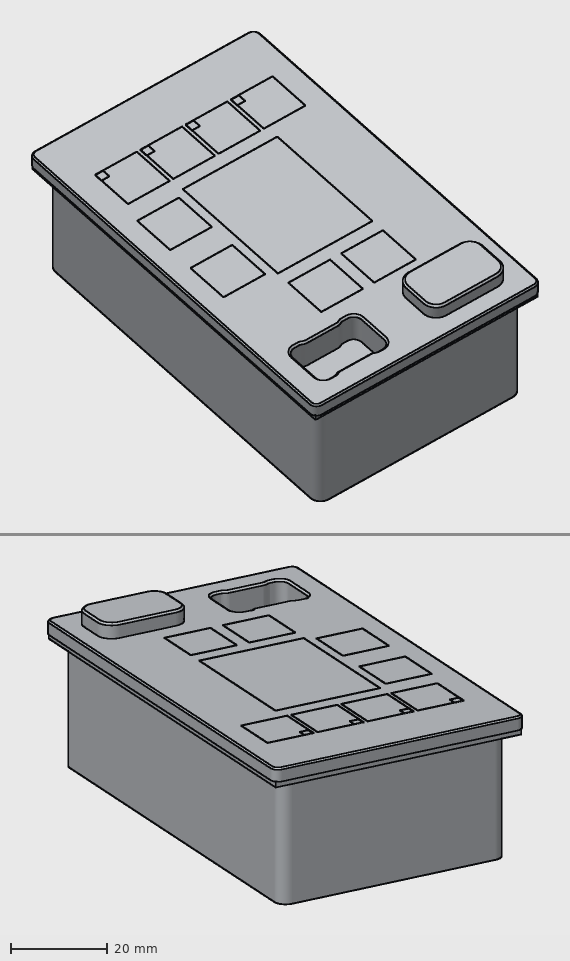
import cadquery as cq


plate_length = 96.0
plate_width = 60.0
plate_thickness = 3.1
plate_corner_radius = 1.7
plate_edge_chamfer = 0.4

gasket_inset = 0.6
gasket_thickness = 1.3

housing_length = 90.8
housing_width = 54.1
housing_depth = 27.8
housing_corner_radius = 2.7

foot_length = 9.0
foot_width = 5.0
foot_height = 2.3
foot_fillet = 0.8
foot_x = 34.5
foot_y_positions = (1.0, -20.0)

control_y = 15.1
control_edge_chamfer = 0.5
button_x = 37.2
button_width = 12.5
button_length = 20.3
button_height = 3.5
button_corner_radius = 3.4

socket_x = 37.0
socket_width = 12.7
socket_length = 19.2
socket_depth = 7.0
socket_corner_radius = 2.6
waist_inset = 0.5
waist_length = 8.3
waist_blend_length = 1.7

marking_depth = 0.1
display_length = 31.9
display_width = 25.1
display_x = -3.9
display_y = 1.2
key_size = 11.0

column_x = -29.0
column_y = 0.5
column_pitch = 12.0
column_count = 4
lamp_size = 2.1
lamp_depth = 2 * marking_depth

side_key_x = 21.0
side_key_offset = (display_width - key_size) / 2
bottom_key_y = -19.1
bottom_key_offset = 8.9

gasket_top = -plate_thickness
housing_top = gasket_top - gasket_thickness
housing_bottom = housing_top - housing_depth


def block_below(length, width, height, top):
    """Centred rectangular block hanging down from the given level."""
    return cq.Workplane("XY").workplane(offset=top).rect(length, width).extrude(-height)


def make_plate():
    plate = block_below(plate_length, plate_width, plate_thickness, 0)
    plate = plate.edges("|Z").fillet(plate_corner_radius)
    return plate.faces(">Z").edges().chamfer(plate_edge_chamfer)


def make_gasket():
    return block_below(
        plate_length - 2 * gasket_inset,
        plate_width - 2 * gasket_inset,
        gasket_thickness,
        gasket_top,
    )


def make_housing():
    housing = block_below(housing_length, housing_width, housing_depth, housing_top)
    return housing.edges("|Z").fillet(housing_corner_radius)


def make_foot(y):
    """Foot with its two long lower edges rounded."""
    foot = block_below(foot_length, foot_width, foot_height, housing_bottom)
    foot = foot.faces("<Z").edges("|X").fillet(foot_fillet)
    return foot.translate((foot_x, y, 0))


def make_button():
    button = cq.Workplane("XY").rect(button_width, button_length).extrude(button_height)
    button = button.edges("|Z").fillet(button_corner_radius)
    button = button.faces(">Z").edges().chamfer(control_edge_chamfer)
    return button.translate((button_x, control_y, 0))


def make_socket():
    """Waisted cavity, without the flare around its opening, from a mirrored quarter outline."""
    half_width = socket_width / 2 - control_edge_chamfer
    half_length = socket_length / 2 - control_edge_chamfer
    half_waist = half_width - waist_inset
    waist_end = waist_length / 2
    lobe_start = waist_end + waist_blend_length
    radius = socket_corner_radius - control_edge_chamfer
    along_y = (0, 1)

    quarter = (
        cq.Workplane("XY")
        .lineTo(half_waist, 0)
        .lineTo(half_waist, waist_end)
        .spline([(half_width, lobe_start)], tangents=[along_y, along_y], includeCurrent=True)
        .lineTo(half_width, half_length - radius)
        .tangentArcPoint((half_width - radius, half_length), relative=False)
        .lineTo(0, half_length)
        .close()
        .extrude(-socket_depth)
    )
    half = quarter.union(quarter.mirror("YZ"))
    socket = half.union(half.mirror("XZ")).clean()
    return socket.translate((socket_x, -control_y, 0))


def make_recess(length, width, x, y, depth=marking_depth):
    """Rectangular cutter centred at (x, y), sunk from the plate face."""
    return block_below(length, width, depth, 0).translate((x, y, 0))


def cut_markings(body):
    """Sink the display, the keys and the corner lamps of the key column."""
    body = body.cut(make_recess(display_length, display_width, display_x, display_y))
    for side in (-1, 1):
        side_key_y = display_y + side * side_key_offset
        body = body.cut(make_recess(key_size, key_size, side_key_x, side_key_y))
        bottom_key_x = display_x + side * bottom_key_offset
        body = body.cut(make_recess(key_size, key_size, bottom_key_x, bottom_key_y))

    lamp_offset = (key_size - lamp_size) / 2
    for index in range(column_count):
        key_y = column_y + (index - (column_count - 1) / 2) * column_pitch
        body = body.cut(make_recess(key_size, key_size, column_x, key_y))
        lamp = make_recess(
            lamp_size, lamp_size, column_x - lamp_offset, key_y - lamp_offset, lamp_depth
        )
        body = body.cut(lamp)
    return body


def cut_socket(body):
    """Cut the socket and flare its opening out to its full size at the plate face."""
    opening = cq.selectors.BoxSelector(
        (socket_x - socket_width / 2, -control_y - socket_length / 2, -control_edge_chamfer),
        (socket_x + socket_width / 2, -control_y + socket_length / 2, control_edge_chamfer),
    )
    return body.cut(make_socket()).edges(opening).chamfer(control_edge_chamfer)


result = make_plate().union(make_gasket()).union(make_housing())
for foot_y in foot_y_positions:
    result = result.union(make_foot(foot_y))
result = cut_socket(result)
result = result.union(make_button())
result = cut_markings(result)